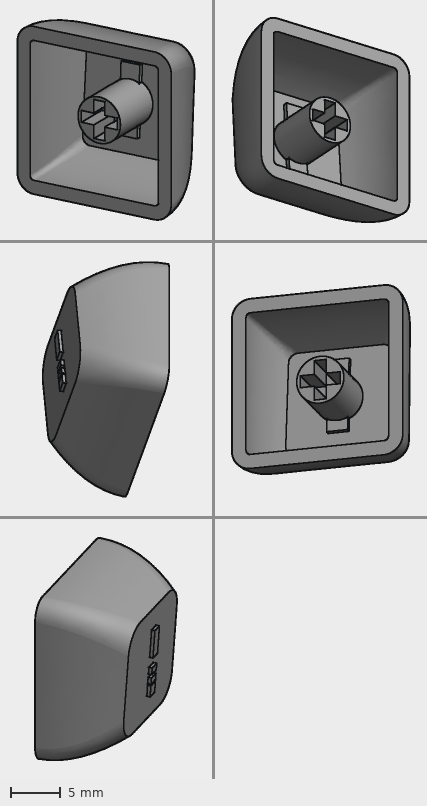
import cadquery as cq
import math


RIM_SIZE = 18.1
RIM_CORNER_RADIUS = 2.0
TOP_SIZE = 12.75
TOP_CORNER_RADIUS = 2.68
CAP_DEPTH = 8.85
TOP_TILT = 4.0
WALL = 1.5
SECTION_COUNT = 5

STEM_DIAMETER = 5.0
STEM_INSET = 1.0
CROSS_SPAN = 4.2
CROSS_ARM_WIDTH = 1.27
CROSS_DEPTH = 3.98

PAD_WIDTH = 2.2
PAD_HEIGHT = 7.82
PAD_OFFSET = 0.15
PAD_THICKNESS = 0.5
BAR_RAISE = 0.36
BAR_WIDTH = 1.2
BAR_SIDE_OFFSET = 0.27
BAR_SPANS = [(0.83, 3.96), (-1.07, -0.3), (-2.19, -1.45), (-3.62, -2.33)]


def tilted_plane(depth, tilt):
    """Plane at a depth behind the rim, facing +Y and leaning down; its local y axis points up."""
    return cq.Plane(
        origin=(0, depth, 0),
        xDir=(-1, 0, 0),
        normal=(0, math.cos(tilt), -math.sin(tilt)),
    )


TOP_PLANE = tilted_plane(CAP_DEPTH, math.radians(TOP_TILT))


def cap_section(fraction, wall):
    """Outline a wall thickness inside the cap, at a fraction of the way from rim to top face."""
    narrowing = fraction**2
    outer_size = RIM_SIZE + (TOP_SIZE - RIM_SIZE) * narrowing
    outer_radius = RIM_CORNER_RADIUS + (TOP_CORNER_RADIUS - RIM_CORNER_RADIUS) * narrowing

    side_slope = fraction * (RIM_SIZE - TOP_SIZE) / CAP_DEPTH
    size = outer_size - 2 * wall * math.hypot(1, side_slope)

    tilt = math.atan(fraction * math.tan(math.radians(TOP_TILT)) * TOP_SIZE / outer_size)
    outline = cq.Sketch().rect(size, size / math.cos(tilt)).vertices().fillet(outer_radius - wall)
    return outline.moved(cq.Location(tilted_plane(fraction * CAP_DEPTH, tilt)))


def make_cap_form(wall):
    """Solid form of the cap, with its sides moved inwards by a wall thickness."""
    sections = [cap_section(i / (SECTION_COUNT - 1), wall) for i in range(SECTION_COUNT)]
    return cq.Workplane().placeSketch(*sections).loft()


def make_cavity():
    top_wall = cq.Workplane(TOP_PLANE).rect(RIM_SIZE, RIM_SIZE).extrude(-WALL)
    return make_cap_form(WALL).cut(top_wall)


def make_stem():
    """Round stem from near the rim into the top wall, with a blind cross socket in its end."""
    stem_end = cq.Workplane("XZ", origin=(0, STEM_INSET, 0))
    stem = stem_end.circle(STEM_DIAMETER / 2).extrude(-(CAP_DEPTH - WALL / 2 - STEM_INSET))
    for width, height in [(CROSS_SPAN, CROSS_ARM_WIDTH), (CROSS_ARM_WIDTH, CROSS_SPAN)]:
        stem = stem.cut(stem_end.rect(width, height).extrude(-CROSS_DEPTH))
    return stem


def make_legend():
    """Backing pad on the inner floor, carrying bars that stand out from the top face."""
    legend = (
        cq.Workplane(TOP_PLANE)
        .workplane(offset=-WALL)
        .center(0, PAD_OFFSET)
        .rect(PAD_WIDTH, PAD_HEIGHT)
        .extrude(-PAD_THICKNESS)
    )
    for lower, upper in BAR_SPANS:
        bar = (
            cq.Workplane(TOP_PLANE)
            .workplane(offset=-WALL)
            .center(BAR_SIDE_OFFSET, (lower + upper) / 2)
            .rect(BAR_WIDTH, upper - lower)
            .extrude(WALL + BAR_RAISE)
        )
        legend = legend.union(bar)
    return legend


def make_cap(legend):
    """Hollow cap with its stem, cut to fit around the legend."""
    return make_cap_form(0).cut(make_cavity()).union(make_stem()).cut(legend)


legend = make_legend()
cap = make_cap(legend)

result = cq.Compound.makeCompound([cap.solids().val(), legend.solids().val()])